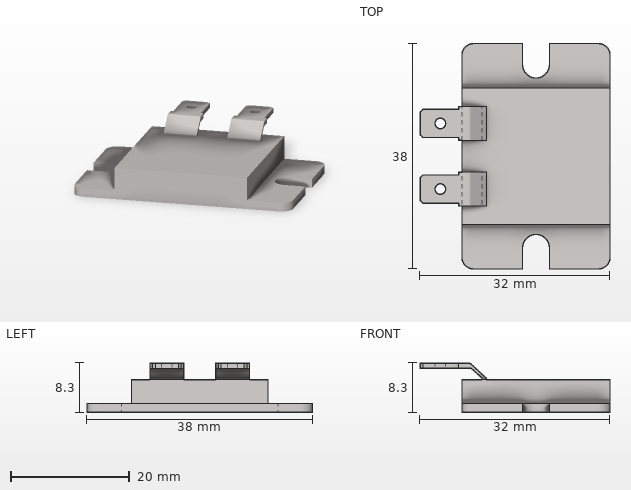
import cadquery as cq

plate_width = 25.0
plate_length = 38.0
plate_thickness = 1.52
plate_corner_radius = 2.0
slot_width = 4.5
slot_depth = 5.8

housing_length = 23.03
housing_height = 4.0

overall_height = 8.3
terminal_overhang = 7.0
terminal_spacing = 11.05
terminal_thickness = 0.87
terminal_width = 5.75
blade_width = 4.8
blade_tip_chamfer = 0.45
shoulder_overhang = 0.55
blade_hole_diameter = 1.75
blade_hole_from_tip = 3.4
leg_thickness = 0.75
leg_height = 0.25
leg_back_inset = 4.15
upper_bend_inset = 1.4
lower_bend_inset = 1.6
upper_bend_radius = 0.7
lower_bend_radius = 0.38

plate_left = -plate_width / 2
housing_top = plate_thickness + housing_height
tip_x = plate_left - terminal_overhang
shoulder_x = plate_left - shoulder_overhang
blade_length = shoulder_x - tip_x


def make_base_plate():
    """Rounded plate with a round-ended mounting slot open at each Y end."""
    plate = (
        cq.Workplane("XY")
        .box(plate_width, plate_length, plate_thickness, centered=(True, True, False))
        .edges("|Z")
        .fillet(plate_corner_radius)
    )
    slots = (
        cq.Workplane("XY")
        .pushPoints([(0, -plate_length / 2), (0, plate_length / 2)])
        .slot2D(2 * slot_depth, slot_width, 90)
        .extrude(plate_thickness)
    )
    return plate.cut(slots)


def make_terminal(center_y):
    """Flat blade that bends down to a short upright leg on the housing."""
    blade_bottom = overall_height - terminal_thickness
    leg_top = housing_top + leg_height
    leg_back_x = plate_left + leg_back_inset
    leg_front_x = leg_back_x - leg_thickness
    upper_bend_x = plate_left + upper_bend_inset
    lower_bend_x = plate_left + lower_bend_inset

    strip = (
        cq.Workplane("XZ", origin=(0, center_y, 0))
        .moveTo(shoulder_x, overall_height)
        .lineTo(upper_bend_x, overall_height)
        .lineTo(leg_back_x, leg_top)
        .lineTo(leg_back_x, housing_top)
        .lineTo(leg_front_x, housing_top)
        .lineTo(leg_front_x, leg_top)
        .lineTo(lower_bend_x, blade_bottom)
        .lineTo(shoulder_x, blade_bottom)
        .close()
        .extrude(terminal_width / 2, both=True)
    )
    upper_bend = cq.NearestToPointSelector((upper_bend_x, center_y, overall_height))
    lower_bend = cq.NearestToPointSelector((lower_bend_x, center_y, blade_bottom))
    strip = strip.edges(upper_bend).fillet(upper_bend_radius)
    strip = strip.edges(lower_bend).fillet(lower_bend_radius)

    blade = (
        cq.Workplane("XY", origin=(tip_x, center_y, blade_bottom))
        .box(blade_length, blade_width, terminal_thickness, centered=(False, True, False))
        .edges("|Z and <X")
        .chamfer(blade_tip_chamfer)
    )
    hole = (
        cq.Workplane("XY", origin=(tip_x + blade_hole_from_tip, center_y, blade_bottom))
        .circle(blade_hole_diameter / 2)
        .extrude(terminal_thickness)
    )
    return strip.union(blade.cut(hole))


def make_housing():
    """Block on the plate, carrying the two terminals."""
    housing = cq.Workplane("XY", origin=(0, 0, plate_thickness)).box(
        plate_width, housing_length, housing_height, centered=(True, True, False)
    )
    for center_y in (-terminal_spacing / 2, terminal_spacing / 2):
        housing = housing.union(make_terminal(center_y))
    return housing


base_plate = make_base_plate()
housing = make_housing()

result = cq.Compound.makeCompound([base_plate.val(), housing.val()])